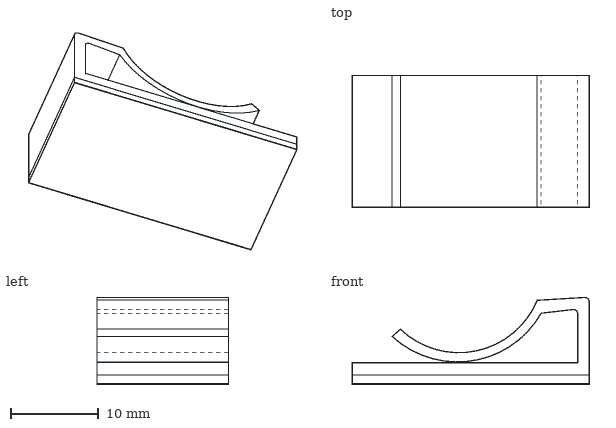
import cadquery as cq
import math

length = 27.0
width = 15.0

liner_thickness = 0.08
pad_thickness = 0.97
clip_bottom = liner_thickness + pad_thickness
base_thickness = 1.43
base_top = clip_bottom + base_thickness

wall_thickness = 1.35
wall_inside_x = length - wall_thickness
corner_top = 9.94
corner_underside = 8.55
outer_corner_radius = 0.55
inner_corner_radius = 0.45

cradle_thickness = 1.08
cradle_gap = 0.05
cradle_bottom = base_top + cradle_gap
inner_radius = 9.65
inner_center = (12.15, cradle_bottom + cradle_thickness + inner_radius)
outer_radius = 10.95
outer_center = (12.0, cradle_bottom + outer_radius)
inner_tip_angle = -133.7
outer_tip_angle = -132.7
arm_upper_x = 21.05
arm_lower_x = 21.52


def arc_point(center, radius, angle):
    """Point on an arc at an angle in degrees from +X."""
    turn = math.radians(angle)
    return (center[0] + radius * math.cos(turn), center[1] + radius * math.sin(turn))


def angle_at_x(center, radius, x):
    """Angle in degrees of the point on the arc's lower half at x."""
    return -math.degrees(math.acos((x - center[0]) / radius))


def make_layer(bottom, thickness):
    """Flat rectangular sheet with its underside at the given height."""
    return cq.Workplane("XY", origin=(0, 0, bottom)).box(length, width, thickness, centered=(False, True, False))


def make_clip():
    """Base, wall, arm and cradle as one bent strip extruded across the width."""
    inner_end_angle = angle_at_x(inner_center, inner_radius, arm_upper_x)
    outer_end_angle = angle_at_x(outer_center, outer_radius, arm_lower_x)
    lowest_angle = -90.0
    profile = (
        cq.Workplane("XZ")
        .moveTo(0, clip_bottom)
        .lineTo(length, clip_bottom)
        .lineTo(length, corner_top)
        .lineTo(*arc_point(inner_center, inner_radius, inner_end_angle))
        .threePointArc(
            arc_point(inner_center, inner_radius, lowest_angle),
            arc_point(inner_center, inner_radius, inner_tip_angle),
        )
        .lineTo(*arc_point(outer_center, outer_radius, outer_tip_angle))
        .threePointArc(
            arc_point(outer_center, outer_radius, lowest_angle),
            arc_point(outer_center, outer_radius, outer_end_angle),
        )
        .lineTo(wall_inside_x, corner_underside)
        .lineTo(wall_inside_x, base_top)
        .lineTo(0, base_top)
        .close()
    )
    body = profile.extrude(width / 2, both=True)
    outer_corner = cq.selectors.NearestToPointSelector((length, 0, corner_top))
    body = body.edges("|Y").edges(outer_corner).fillet(outer_corner_radius)
    inner_corner = cq.selectors.NearestToPointSelector((wall_inside_x, 0, corner_underside))
    return body.edges("|Y").edges(inner_corner).fillet(inner_corner_radius)


liner = make_layer(0, liner_thickness)
pad = make_layer(liner_thickness, pad_thickness)
clip = make_clip()

result = cq.Compound.makeCompound([liner.val(), pad.val(), clip.val()])